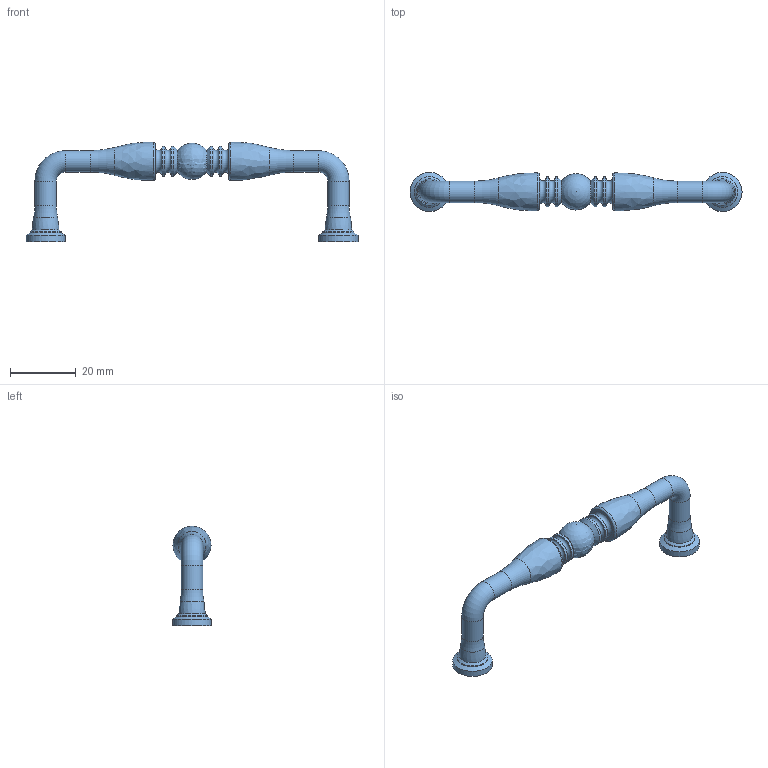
import cadquery as cq
import math

post_spacing = 88.9
base_diameter = 11.9
total_height = 30.18
barrel_radius = 5.78
rod_radius = 3.25
bend_radius = 6.05

post_x = post_spacing / 2
axis_z = total_height - barrel_radius
bend_end_x = post_x - bend_radius
bend_start_z = axis_z - bend_radius

base_radius = base_diameter / 2
base_rim_z = 1.9
shoulder_radius = 4.7
shoulder_bottom_z = 2.75
shoulder_top_z = 3.05
flare_bottom_z = 3.7
flare_middle_z = 7.4
flare_top_z = 11.0
flare_bottom_radius = 4.0

swell_start_x = 30.86
swell_middle_x = 23.6
swell_shoulder_x = 17.5
swell_shoulder_radius = 5.52
barrel_end_x = 11.15
barrel_end_fillet = 0.6

ball_radius = 5.52
neck_radius = 3.3
ring_radius = 4.55
ring_outer_x = 9.05
ring_inner_x = 8.2
collar_outer_x = 6.35
collar_inner_x = 5.6
collar_root_x = math.sqrt(ball_radius**2 - neck_radius**2)


def ogee_middle_radius(start, middle, end, start_radius, end_radius):
    """Radius where the two tangent arcs of an ogee meet, at the station called middle."""
    return start_radius + (end_radius - start_radius) * (middle - start) / (end - start)


def groove(profile, start_x, end_x):
    """Add a half-round groove with its floor at the neck radius, ending at end_x."""
    lip_radius = neck_radius + abs(start_x - end_x) / 2
    floor_x = (start_x + end_x) / 2
    return (
        profile.lineTo(start_x, lip_radius)
        .threePointArc((floor_x, neck_radius), (end_x, lip_radius))
    )


def make_half_grip():
    """Turned half of the grip, from the end of the bend to the middle of the ball."""
    fillet_x = barrel_end_x + barrel_end_fillet
    corner_offset = barrel_end_fillet * (1 - math.sqrt(0.5))
    swell_middle_radius = ogee_middle_radius(
        swell_start_x, swell_middle_x, fillet_x, rod_radius, barrel_radius
    )
    swell_middle_slope = (
        -1,
        2 * (swell_middle_radius - rod_radius) / (swell_start_x - swell_middle_x),
    )
    profile = (
        cq.Workplane("XZ")
        .moveTo(bend_end_x, 0)
        .lineTo(bend_end_x, rod_radius)
        .lineTo(swell_start_x, rod_radius)
        .tangentArcPoint((swell_middle_x, swell_middle_radius), relative=False)
        .spline(
            [(swell_shoulder_x, swell_shoulder_radius), (fillet_x, barrel_radius)],
            tangents=[swell_middle_slope, (-1, 0)],
            includeCurrent=True,
        )
        .threePointArc(
            (barrel_end_x + corner_offset, barrel_radius - corner_offset),
            (barrel_end_x, barrel_radius - barrel_end_fillet),
        )
    )
    profile = groove(profile, barrel_end_x, ring_outer_x)
    profile = profile.lineTo(ring_outer_x, ring_radius).lineTo(ring_inner_x, ring_radius)
    profile = groove(profile, ring_inner_x, collar_outer_x)
    profile = (
        profile.lineTo(collar_outer_x, ring_radius)
        .lineTo(collar_inner_x, ring_radius)
        .lineTo(collar_root_x, neck_radius)
        .lineTo(0, neck_radius)
        .lineTo(0, 0)
        .close()
    )
    return profile.revolve(360, (0, 0, 0), (1, 0, 0)).translate((0, 0, axis_z))


def make_bend():
    """Quarter-turn elbow joining the post to the grip."""
    return (
        cq.Workplane("XY", origin=(post_x, 0, bend_start_z))
        .circle(rod_radius)
        .revolve(90, (-bend_radius, 0, 0), (-bend_radius, -1, 0))
    )


def make_post():
    """Turned post with its flared lower end and stepped round base."""
    flare_middle_radius = ogee_middle_radius(
        flare_top_z, flare_middle_z, flare_bottom_z, rod_radius, flare_bottom_radius
    )
    profile = (
        cq.Workplane("XZ")
        .moveTo(0, bend_start_z)
        .lineTo(rod_radius, bend_start_z)
        .lineTo(rod_radius, flare_top_z)
        .tangentArcPoint((flare_middle_radius, flare_middle_z), relative=False)
        .tangentArcPoint((flare_bottom_radius, flare_bottom_z), relative=False)
        .lineTo(shoulder_radius, shoulder_top_z)
        .lineTo(shoulder_radius, shoulder_bottom_z)
        .lineTo(base_radius, base_rim_z)
        .lineTo(base_radius, 0)
        .lineTo(0, 0)
        .close()
    )
    return profile.revolve(360, (0, 0, 0), (0, 1, 0)).translate((post_x, 0, 0))


half_pull = make_half_grip().union(make_bend()).union(make_post())
ball = cq.Workplane("XY").sphere(ball_radius).translate((0, 0, axis_z))
result = half_pull.union(half_pull.mirror("YZ")).union(ball)